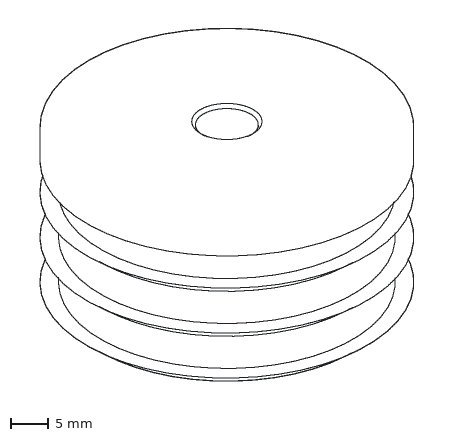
import cadquery as cq

outer_diameter = 50.0
body_diameter = 45.0
cap_height = 6.0
cap_edge_radius = 1.0
fin_count = 3
fin_height = 2.0
fin_gap = 5.0
hole_diameter = 8.4
hole_chamfer = 0.5

outer_radius = outer_diameter / 2
body_radius = body_diameter / 2
fin_pitch = fin_height + fin_gap
body_height = fin_count * fin_pitch
total_height = body_height + cap_height


def make_cap():
    """Flat disc with a rounded top rim, resting on the body."""
    disc = cq.Workplane("XY").workplane(offset=body_height).circle(outer_radius).extrude(cap_height)
    return disc.faces(">Z").edges().fillet(cap_edge_radius)


def make_finned_body():
    """Round body ringed by sharp fins that flare outward toward the cap."""
    profile = cq.Workplane("XZ").moveTo(0, 0).lineTo(body_radius, 0)
    for index in range(fin_count):
        fin_top = index * fin_pitch + fin_height
        profile = profile.lineTo(outer_radius, fin_top)
        profile = profile.lineTo(body_radius, fin_top)
        profile = profile.lineTo(body_radius, fin_top + fin_gap)
    return profile.lineTo(0, body_height).close().revolve(360, (0, 0, 0), (0, 1, 0))


def make_hole():
    """Through hole on the axis, with a chamfered mouth in the cap."""
    hole_radius = hole_diameter / 2
    mouth_radius = hole_radius + hole_chamfer
    return (
        cq.Workplane("XZ")
        .lineTo(hole_radius, 0)
        .lineTo(hole_radius, total_height - hole_chamfer)
        .lineTo(mouth_radius, total_height)
        .lineTo(0, total_height)
        .close()
        .revolve(360, (0, 0, 0), (0, 1, 0))
    )


result = make_finned_body().union(make_cap()).cut(make_hole())